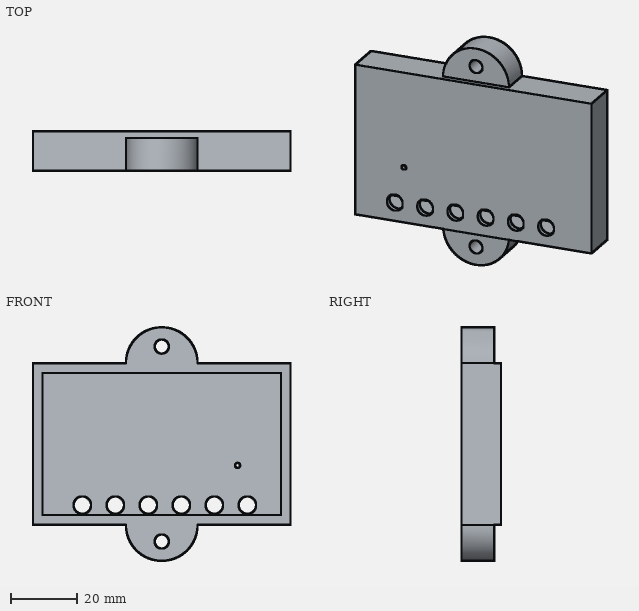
import cadquery as cq

width = 78.0
overall_height = 70.75
height = 49.0
depth = 12.0
side_wall = 3.0
back_wall = 2.0

ear_radius = (overall_height - height) / 2
ear_thickness = depth - back_wall
ear_hole_diameter = 4.2
ear_hole_height = 29.5

row_count = 6
row_pitch = 10.0
row_diameter = 5.2
row_first_x = -24.0
row_z = -18.5

pin_diameter = 1.5
pin_x = 22.9
pin_z = -6.5


def block(size_x, size_z, front, back):
    """Box centred on X and Z, spanning front to back along Y."""
    return cq.Workplane("XY").box(size_x, back - front, size_z).translate((0, (front + back) / 2, 0))


def rod(points, diameter, length):
    """Cylinders at the given (x, z) points, running from y = 0 towards the back."""
    return cq.Workplane("XZ").pushPoints(points).circle(diameter / 2).extrude(-length)


ear_centers = [(0, height / 2), (0, -height / 2)]
body = block(width, height, 0, depth).union(rod(ear_centers, 2 * ear_radius, ear_thickness))

body = body.cut(block(width - 2 * side_wall, height - 2 * side_wall, 0, depth - back_wall))

ear_holes = [(0, ear_hole_height), (0, -ear_hole_height)]
row_holes = [(row_first_x + i * row_pitch, row_z) for i in range(row_count)]
body = body.cut(rod(ear_holes, ear_hole_diameter, depth))
body = body.cut(rod(row_holes, row_diameter, depth))
body = body.cut(rod([(pin_x, pin_z)], pin_diameter, depth))

result = body